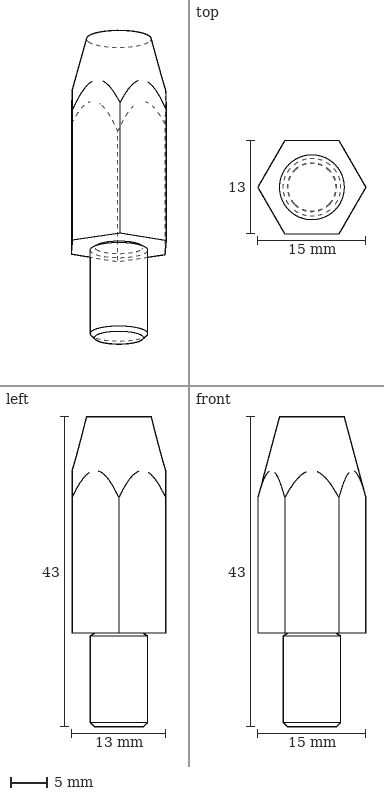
import cadquery as cq
import math

across_flats = 13.0
corner_diameter = 15.0
body_height = 30.0

tip_diameter = 9.0
nose_half_angle = 15.0

stud_diameter = 8.0
stud_length = 13.0
core_diameter = 6.647
root_taper_half_angle = 60.0
end_chamfer = 0.6

corner_radius = corner_diameter / 2
tip_radius = tip_diameter / 2
nose_height = (corner_radius - tip_radius) / math.tan(math.radians(nose_half_angle))
stud_radius = stud_diameter / 2
core_radius = core_diameter / 2
root_taper_length = (stud_radius - core_radius) / math.tan(math.radians(root_taper_half_angle))


def make_turned_blank():
    """Cylinder with a conical nose that bounds the hexagonal body."""
    profile = (
        cq.Workplane("XZ")
        .lineTo(corner_radius, 0)
        .lineTo(corner_radius, body_height - nose_height)
        .lineTo(tip_radius, body_height)
        .lineTo(0, body_height)
        .close()
    )
    return profile.revolve(360, (0, 0, 0), (0, 1, 0))


def make_body():
    """Hexagonal bar, corners along X, trimmed by the turned blank."""
    across_corners = across_flats / math.cos(math.radians(30))
    hexagon = cq.Workplane("XY").polygon(6, across_corners).extrude(body_height)
    return hexagon.intersect(make_turned_blank())


def make_stud():
    """Turned stud below the body, tapered to the thread core at its root and chamfered at its free end."""
    profile = (
        cq.Workplane("XZ")
        .lineTo(core_radius, 0)
        .lineTo(stud_radius, -root_taper_length)
        .lineTo(stud_radius, end_chamfer - stud_length)
        .lineTo(stud_radius - end_chamfer, -stud_length)
        .lineTo(0, -stud_length)
        .close()
    )
    return profile.revolve(360, (0, 0, 0), (0, 1, 0))


result = make_body().union(make_stud())